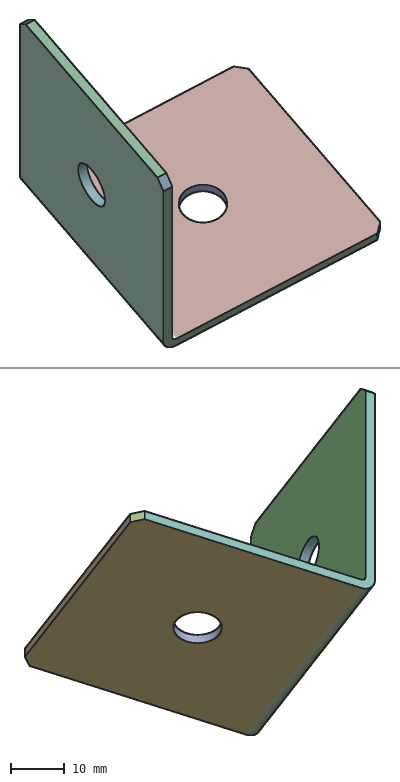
import cadquery as cq

width = 48.0
leg_length = 50.0
thickness = 2.0
inner_bend_radius = 1.0
corner_chamfer = 2.0
hole_diameter = 9.0

outer_bend_radius = inner_bend_radius + thickness
hole_offset = leg_length / 2


def rounded_block(bend_radius):
    """Block centred on X, with its lower -Y edge rounded to the bend radius."""
    return (
        cq.Workplane("YZ")
        .rect(leg_length, leg_length, centered=False)
        .extrude(width / 2, both=True)
        .edges("|X and <Y and <Z")
        .fillet(bend_radius)
    )


def bent_sheet():
    """L-shaped sheet: base leg along +Y and upright leg along +Z."""
    inner_space = rounded_block(inner_bend_radius).translate((0, thickness, thickness))
    return rounded_block(outer_bend_radius).cut(inner_space)


def leg_hole(plane, depth):
    """Cutter for the hole through the leg lying on the given plane."""
    return cq.Workplane(plane).center(0, hole_offset).circle(hole_diameter / 2).extrude(depth)


bracket = bent_sheet()

bracket = bracket.faces(">Z").edges("|Y").chamfer(corner_chamfer)
bracket = bracket.faces(">Y").edges("|Z").chamfer(corner_chamfer)

bracket = bracket.cut(leg_hole("XY", thickness))
bracket = bracket.cut(leg_hole("XZ", -thickness))

result = bracket